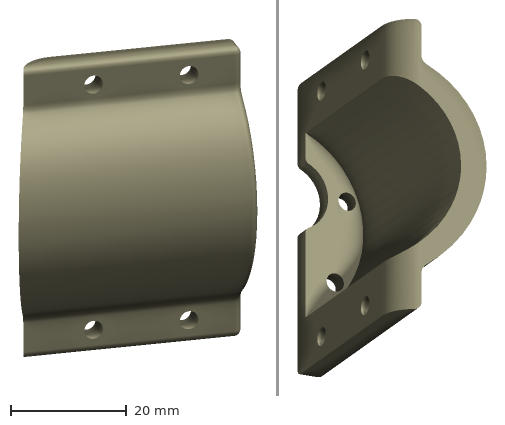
import cadquery as cq
import math

height = 53.35
length = 43.1
depth = 15.25
bore_radius = 18.5
shell_radius = 22.2
shell_axis_x = depth - shell_radius
bore_axis_x = -7.4
flange_thickness = 4.65
end_wall = 3.2
edge_radius = 1.25
root_radius = 2.05

slope_angle = 20.0
nose_radius = 6.35

notch_radius = 6.5
notch_depth = 4.3
notch_z = 5.5
notch_lip_radius = 1.2

hole_diameter = 3.3
flange_hole_z = 22.55
flange_hole_ys = (-9.5, -26.6)
end_hole_points = ((8.0, 5.6), (5.7, -9.6))

clearance = 2.65
pick_reach = 0.55


def along_y(y_start):
    """XZ sketch plane; positive extrusion runs toward -Y."""
    return cq.Workplane("XZ", origin=(0, y_start, 0))


def make_body():
    """Flange and cylindrical shell with rounded outer edges."""
    flange = along_y(0).rect(2 * flange_thickness, height).extrude(length)
    shell = along_y(0).center(shell_axis_x, 0).circle(shell_radius).extrude(length)
    mating_half = cq.Workplane("XY").box(depth, length, height, centered=(False, False, True))
    mating_half = mating_half.translate((0, -length, 0))
    body = flange.union(shell).intersect(mating_half)

    root_z = math.sqrt(shell_radius**2 - (flange_thickness - shell_axis_x) ** 2)
    roots = cq.selectors.BoxSelector(
        (flange_thickness - pick_reach, -length, -root_z - pick_reach),
        (flange_thickness + pick_reach, 0, root_z + pick_reach),
    )
    body = body.edges("|Y").edges(roots).fillet(root_radius)

    flange_edges = body.faces(">Z or <Z").edges("|Y and >X")
    end_edges = body.faces(">Y").edges("not <X")
    return body.newObject(flange_edges.vals() + end_edges.vals()).fillet(edge_radius)


def make_side_envelope():
    """Side outline with the sloped end and its rounded nose."""
    slope_start_y = -length + depth * math.tan(math.radians(slope_angle))
    envelope = (
        cq.Workplane("XY", origin=(0, 0, -height / 2))
        .polyline([(0, 0), (depth, 0), (depth, -length), (0, slope_start_y)])
        .close()
        .extrude(height)
    )
    return envelope.edges("|Z and <X").edges("<Y").fillet(nose_radius)


def make_bore():
    return along_y(-end_wall).center(bore_axis_x, 0).circle(bore_radius).extrude(length)


def make_notch():
    """Arc notch whose two mouth corners flare out with tangent arcs."""
    center_x = notch_depth - notch_radius
    reach = notch_radius + notch_lip_radius
    lip_offset = math.sqrt(reach**2 - (notch_lip_radius - center_x) ** 2)
    blend = notch_radius / reach
    blend_x = center_x + (notch_lip_radius - center_x) * blend
    blend_offset = lip_offset * blend
    lip_turn = math.asin(lip_offset / reach)
    lip_angle = math.pi - lip_turn / 2
    lip_mid_x = notch_lip_radius + notch_lip_radius * math.cos(lip_angle)
    lip_mid_offset = lip_offset - notch_lip_radius * math.sin(lip_angle)
    return (
        along_y(0)
        .center(0, notch_z)
        .moveTo(-clearance, -lip_offset)
        .lineTo(0, -lip_offset)
        .threePointArc((lip_mid_x, -lip_mid_offset), (blend_x, -blend_offset))
        .threePointArc((notch_depth, 0), (blend_x, blend_offset))
        .threePointArc((lip_mid_x, lip_mid_offset), (0, lip_offset))
        .lineTo(-clearance, lip_offset)
        .close()
        .extrude(end_wall)
    )


def make_holes():
    flange_points = [(y, z) for y in flange_hole_ys for z in (-flange_hole_z, flange_hole_z)]
    flange_holes = cq.Workplane("YZ").pushPoints(flange_points).circle(hole_diameter / 2)
    end_holes = along_y(0).pushPoints(end_hole_points).circle(hole_diameter / 2)
    return flange_holes.extrude(flange_thickness).union(end_holes.extrude(end_wall))


result = make_body().intersect(make_side_envelope())
result = result.cut(make_bore()).cut(make_notch()).cut(make_holes())